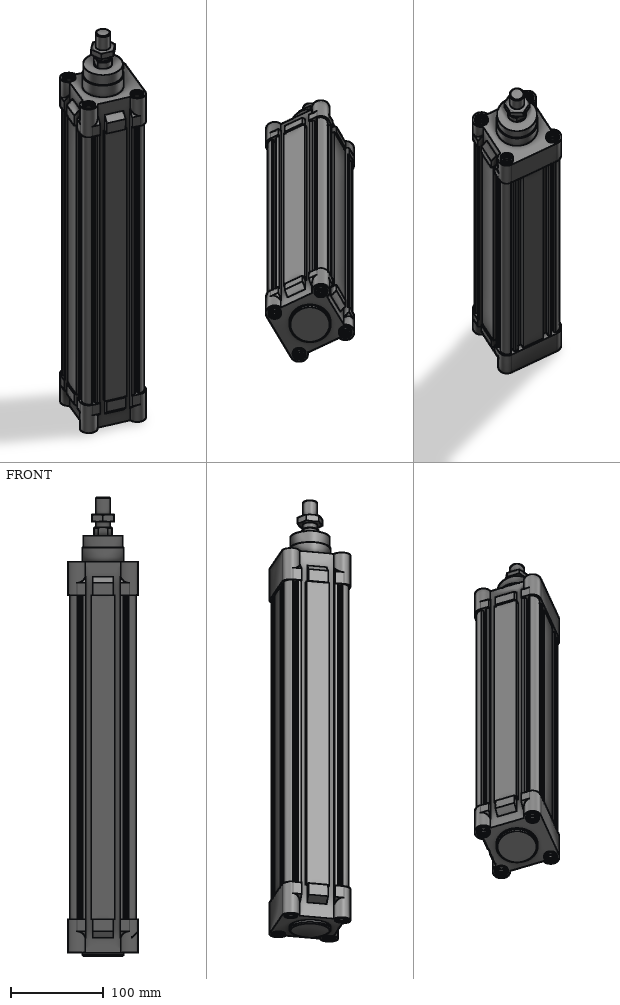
import cadquery as cq
import math


total_height = 494.0
rear_collar_height = 4.0
cap_height = 36.0
tube_length = 349.0
collar_height = 15.5
neck_height = 13.0
rod_shoulder_rise = 9.0
nut_bottom = 468.0
nut_height = 8.0

rear_cap_top = rear_collar_height + cap_height
front_cap_bottom = rear_cap_top + tube_length
front_cap_top = front_cap_bottom + cap_height
collar_top = front_cap_top + collar_height
neck_top = collar_top + neck_height
rod_shoulder = neck_top + rod_shoulder_rise

cap_width = 75.5
cap_half = cap_width / 2
post_offset = 28.0
post_radius = cap_half - post_offset
wall_offset = 31.0
pad_depth = cap_half - wall_offset
pad_height = 13.5
middle_pad_half_width = 11.0
corner_pad_span = 37.0
corner_pad_inner_edge = corner_pad_span / 2
collar_diameter = 45.0
neck_diameter = 43.0
rear_collar_chamfer = 1.5
front_collar_chamfer = 0.5

screw_hole_steps = [(14.5, 1.0), (13.5, 2.0), (12.0, 4.0), (8.0, 8.0), (6.5, 12.0)]
screw_tip_depth = 2.5

tube_half = 36.0
tube_corner_radius = 8.5
tube_rib_width = 25.0
groove_inner_edge = tube_rib_width / 2
groove_outer_edge = corner_pad_inner_edge
slot_center = 24.5
slot_width = 3.0
slot_wall_depth = 5.5
slot_depth = 6.5
slot_chamfer = 1.5

rod_diameter = 20.0
rod_flats_width = 17.0
rod_chamfer = 1.0
thread_diameter = 16.0
thread_chamfer = 1.0
nut_across_flats = 24.0
nut_face_diameter = 22.5
nut_bevel_height = 0.75


def cylinder(diameter, bottom, top):
    return cq.Workplane("XY", origin=(0, 0, bottom)).circle(diameter / 2).extrude(top - bottom)


def side_pad(x_min, x_max):
    """Pad on the -Y wall of a cap; its far end slopes back to the wall at 45 degrees."""
    profile = [
        (-wall_offset, 0),
        (-cap_half, 0),
        (-cap_half, pad_height),
        (-wall_offset, pad_height + pad_depth),
    ]
    return cq.Workplane("YZ", origin=(x_min, 0, 0)).polyline(profile).close().extrude(x_max - x_min)


def screw_hole():
    """Stepped hole with a conical bottom, going down from the outer face of a cap."""
    hole = cq.Workplane("XY")
    for diameter, depth in screw_hole_steps:
        hole = hole.union(cylinder(diameter, cap_height - depth, cap_height))
    tip_diameter, tip_start = screw_hole_steps[-1]
    cone = cq.Solid.makeCone(
        tip_diameter / 2,
        0,
        screw_tip_depth,
        pnt=cq.Vector(0, 0, cap_height - tip_start),
        dir=cq.Vector(0, 0, -1),
    )
    return hole.union(cq.Workplane(cone))


def end_cap():
    """Cap with its tube side at Z = 0 and its outer face at Z = cap_height."""
    cap = cq.Workplane("XY").box(2 * wall_offset, 2 * wall_offset, cap_height, centered=(True, True, False))
    flush_wall = cq.Workplane("XY").box(
        2 * post_offset, cap_half, cap_height, centered=(True, False, False)
    )
    cap = cap.union(flush_wall)

    post_centers = [(x, y) for x in (-post_offset, post_offset) for y in (-post_offset, post_offset)]
    for x, y in post_centers:
        cap = cap.union(cylinder(2 * post_radius, 0, cap_height).translate((x, y, 0)))

    pad_spans = [
        (-post_offset, -corner_pad_inner_edge),
        (-middle_pad_half_width, middle_pad_half_width),
        (corner_pad_inner_edge, post_offset),
    ]
    for angle in (-90, 0, 90):
        for x_min, x_max in pad_spans:
            cap = cap.union(side_pad(x_min, x_max).rotate((0, 0, 0), (0, 0, 1), angle))

    for x, y in post_centers:
        cap = cap.cut(screw_hole().translate((x, y, 0)))
    return cap


def sensor_slot(center):
    """Narrow slot in the -Y face of the tube with a bevelled mouth and a V-shaped floor."""
    half_width = slot_width / 2
    half_mouth = half_width + slot_chamfer
    profile = [
        (center - half_mouth, -tube_half),
        (center - half_width, -tube_half + slot_chamfer),
        (center - half_width, -tube_half + slot_wall_depth),
        (center, -tube_half + slot_depth),
        (center + half_width, -tube_half + slot_wall_depth),
        (center + half_width, -tube_half + slot_chamfer),
        (center + half_mouth, -tube_half),
    ]
    return cq.Workplane("XY").polyline(profile).close().extrude(tube_length)


def wide_groove(center):
    """Groove in the -Y face of the tube with its floor level with the cap wall."""
    width = groove_outer_edge - groove_inner_edge
    depth = tube_half - wall_offset
    return cq.Workplane("XY", origin=(center, -tube_half, 0)).rect(width, 2 * depth).extrude(tube_length)


def tube():
    body = cq.Workplane("XY").rect(2 * tube_half, 2 * tube_half).extrude(tube_length)
    body = body.edges("|Z").fillet(tube_corner_radius)
    groove_center = (groove_inner_edge + groove_outer_edge) / 2
    for angle in (0, 90, 180, 270):
        for side in (-1, 1):
            for cutter in (wide_groove(side * groove_center), sensor_slot(side * slot_center)):
                body = body.cut(cutter.rotate((0, 0, 0), (0, 0, 1), angle))
    return body


def make_rod():
    """Rod with a threaded end and two wrench flats facing -Y and +Y above the neck."""
    shank = cylinder(rod_diameter, front_cap_bottom, rod_shoulder).faces(">Z").chamfer(rod_chamfer)
    round_section = cylinder(rod_diameter, front_cap_bottom, neck_top)
    flat_section = cq.Workplane("XY", origin=(0, 0, neck_top)).rect(rod_diameter, rod_flats_width)
    flat_section = flat_section.extrude(rod_shoulder_rise)
    shank = shank.intersect(round_section.union(flat_section))
    thread = cylinder(thread_diameter, front_cap_bottom, total_height)
    thread = thread.faces(">Z").chamfer(thread_chamfer)
    return shank.union(thread)


def make_housing():
    front_cap = end_cap().translate((0, 0, front_cap_bottom))
    rear_cap = end_cap().mirror("XY").translate((0, 0, rear_cap_top))
    rear_collar = cylinder(collar_diameter, 0, rear_collar_height)
    rear_collar = rear_collar.faces("<Z").chamfer(rear_collar_chamfer)
    body = tube().translate((0, 0, rear_cap_top)).union(front_cap).union(rear_cap).union(rear_collar)
    front_collar = cylinder(collar_diameter, front_cap_top, collar_top)
    body = body.union(front_collar.faces(">Z").chamfer(front_collar_chamfer))
    body = body.union(cylinder(neck_diameter, collar_top, neck_top))
    return body.cut(cylinder(rod_diameter, front_cap_bottom, neck_top))


def make_nut():
    """Hexagonal nut with corners toward -Y and +Y, bevelled on its corners."""
    corner_diameter = nut_across_flats / math.cos(math.pi / 6)
    hexagon = cq.Workplane("XY", origin=(0, 0, nut_bottom)).polygon(6, corner_diameter)
    hexagon = hexagon.extrude(nut_height).rotate((0, 0, 0), (0, 0, 1), 90)
    envelope = cylinder(corner_diameter, nut_bottom, nut_bottom + nut_height)
    bevel_width = (corner_diameter - nut_face_diameter) / 2
    bottom_rim = envelope.faces("<Z").edges()
    envelope = bottom_rim.chamfer(nut_bevel_height, bevel_width)
    top_rim = envelope.faces(">Z").edges()
    envelope = top_rim.chamfer(nut_bevel_height, bevel_width)
    return hexagon.intersect(envelope).cut(cylinder(thread_diameter, nut_bottom, nut_bottom + nut_height))


housing = make_housing()
rod = make_rod()
nut = make_nut()

result = cq.Compound.makeCompound([housing.val(), rod.val(), nut.val()])